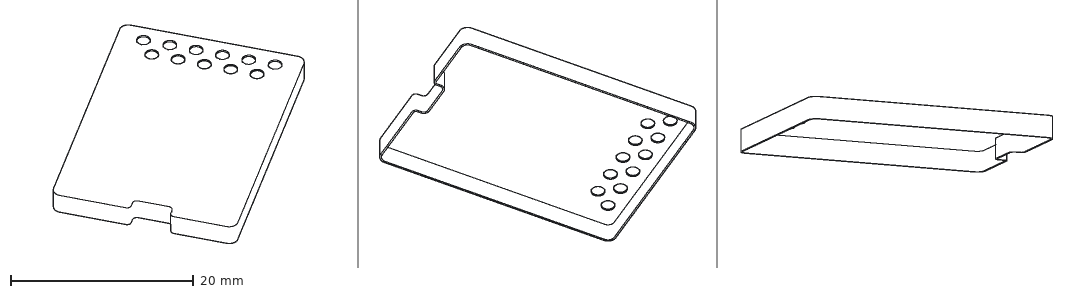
import cadquery as cq

width = 21.0
length = 29.0
height = 2.5
wall = 0.2
lid = 0.2
corner_radius = 1.0

notch_width = 4.5
notch_depth = 1.45
notch_center_x = 0.75
notch_radius = 0.5

hole_diameter = 1.5
row_spacing = 2.0
first_row_holes = 6
second_row_holes = 5
first_row_span = 15.0
hole_pitch = first_row_span / (first_row_holes - 1)
first_row_y = length / 2 - row_spacing


def plate_outline(inset, thickness):
    """Rounded, notched plate whose outline is moved inward by inset."""
    front_y = -length / 2 + inset
    notch_y = -length / 2 + notch_depth + inset
    notch_half = notch_width / 2 + inset
    notch_left = notch_center_x - notch_half
    notch_right = notch_center_x + notch_half
    side_x = width / 2 - inset
    back_y = length / 2 - inset

    plate = (
        cq.Workplane("XY")
        .moveTo(-side_x, front_y)
        .lineTo(notch_left, front_y)
        .lineTo(notch_left, notch_y)
        .lineTo(notch_right, notch_y)
        .lineTo(notch_right, front_y)
        .lineTo(side_x, front_y)
        .lineTo(side_x, back_y)
        .lineTo(-side_x, back_y)
        .close()
        .extrude(thickness)
    )

    def round_edges(body, points, radius):
        for x, y in points:
            nearest = cq.selectors.NearestToPointSelector((x, y, thickness / 2))
            body = body.edges("|Z").edges(nearest).fillet(radius)
        return body

    outer_corners = [(x, y) for x in (-side_x, side_x) for y in (front_y, back_y)]
    notch_mouth = [(x, front_y) for x in (notch_left, notch_right)]
    notch_inside = [(x, notch_y) for x in (notch_left, notch_right)]
    plate = round_edges(plate, outer_corners, corner_radius - inset)
    plate = round_edges(plate, notch_mouth, notch_radius - inset)
    return round_edges(plate, notch_inside, notch_radius + inset)


def hole_row(count, y):
    """Row of vent cutters centered on X = 0."""
    start_x = -(count - 1) * hole_pitch / 2
    centers = [(start_x + i * hole_pitch, y) for i in range(count)]
    return cq.Workplane("XY").pushPoints(centers).circle(hole_diameter / 2).extrude(height)


body = plate_outline(0, height)
cavity = plate_outline(wall, height - lid)
result = (
    body.cut(cavity)
    .cut(hole_row(first_row_holes, first_row_y))
    .cut(hole_row(second_row_holes, first_row_y - row_spacing))
)